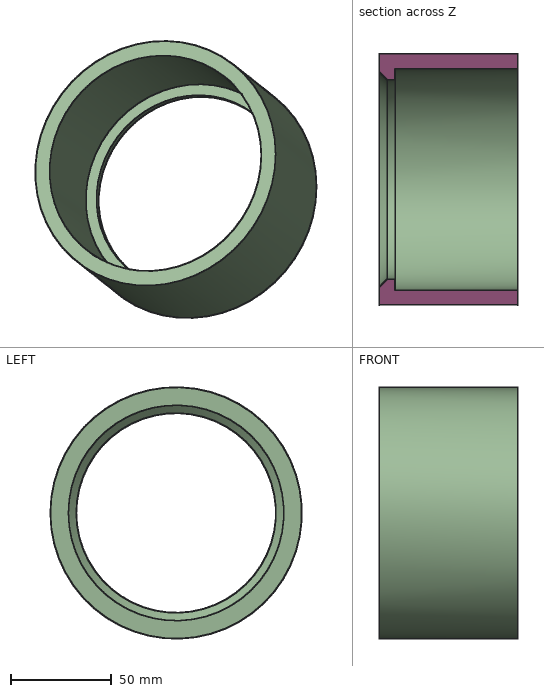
import cadquery as cq

length = 69.0
outer_diameter = 125.0

mouth_diameter = 107.0
land_diameter = 99.0
bore_diameter = 110.0
taper_length = (mouth_diameter - land_diameter) / 2
land_length = 4.0

entry_face = -length / 2
exit_face = length / 2
taper_end = entry_face + taper_length
land_end = taper_end + land_length


def ring_profile():
    """Half section of the ring, drawn as (axial position, radius)."""
    return (
        cq.Workplane("XY")
        .moveTo(entry_face, outer_diameter / 2)
        .lineTo(exit_face, outer_diameter / 2)
        .lineTo(exit_face, bore_diameter / 2)
        .lineTo(land_end, bore_diameter / 2)
        .lineTo(land_end, land_diameter / 2)
        .lineTo(taper_end, land_diameter / 2)
        .lineTo(entry_face, mouth_diameter / 2)
        .close()
    )


result = ring_profile().revolve(360, (0, 0, 0), (1, 0, 0))